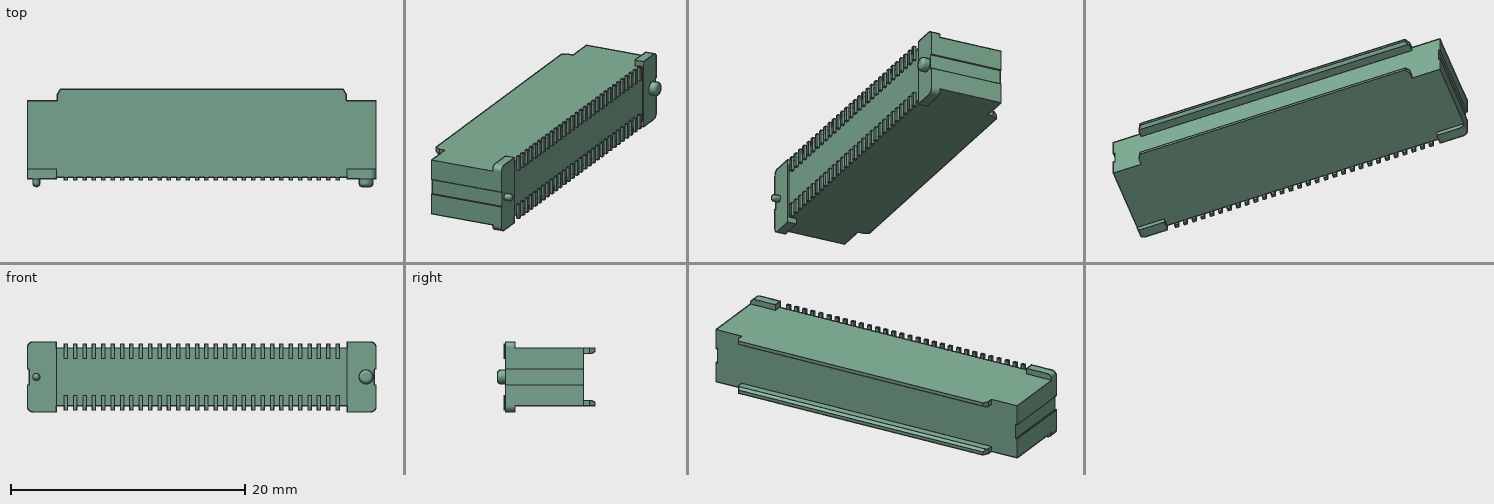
import cadquery as cq

length = 29.8
body_height = 4.95
body_depth = 6.55

tongue_width = 24.7
tongue_reach = 0.98
tongue_thickness = 0.48
tongue_corner_x = 0.27
tongue_corner_y = 0.48
tongue_lead_in_y = 0.3
tongue_lead_in_z = 0.18

flange_height = 6.0
flange_width = 2.47
flange_thickness = 0.83
flange_front = -0.12
flange_corner_radius = 0.48

groove_height = 1.35
groove_depth = 0.15

pads_per_row = 30
pad_row_span = 23.2
pad_pitch = pad_row_span / (pads_per_row - 1)
pad_width = 0.3
pad_length = 1.25
pad_thickness = 0.25
pad_row_outer_z = 2.83

peg_length = 0.7
peg_tip_radius = 0.292
small_peg_diameter = 0.6
small_peg_inset = 0.77
large_peg_diameter = 1.2
large_peg_inset = 0.85


def block(x_start, x_end, y_start, y_end, z_start, z_end):
    """Box given by its limits along each axis."""
    size = (x_end - x_start, y_end - y_start, z_end - z_start)
    return cq.Workplane("XY").box(*size, centered=False).translate((x_start, y_start, z_start))


def make_tongue():
    """Upper tongue: cut corners in plan and a sloped lead-in on its inner face."""
    half_width = tongue_width / 2
    tip = body_depth + tongue_reach
    top = body_height / 2
    bottom = top - tongue_thickness
    plan = (
        cq.Workplane("XY", origin=(0, 0, bottom))
        .moveTo(-half_width, body_depth)
        .lineTo(half_width, body_depth)
        .lineTo(half_width, tip - tongue_corner_y)
        .lineTo(half_width - tongue_corner_x, tip)
        .lineTo(tongue_corner_x - half_width, tip)
        .lineTo(-half_width, tip - tongue_corner_y)
        .close()
        .extrude(tongue_thickness)
    )
    profile = (
        cq.Workplane("YZ")
        .moveTo(body_depth, top)
        .lineTo(tip, top)
        .lineTo(tip, bottom + tongue_lead_in_z)
        .lineTo(tip - tongue_lead_in_y, bottom)
        .lineTo(body_depth, bottom)
        .close()
        .extrude(half_width, both=True)
    )
    return plan.intersect(profile)


def make_flange():
    """Flange at the +X end, with its outer corners rounded."""
    half_height = flange_height / 2
    flange = block(
        length / 2 - flange_width,
        length / 2,
        flange_front,
        flange_front + flange_thickness,
        -half_height,
        half_height,
    )
    return flange.edges("|Y and >X").fillet(flange_corner_radius)


def make_groove():
    """Cutter for the groove in the +X end face, running the full depth."""
    return block(
        length / 2 - groove_depth,
        length / 2,
        flange_front,
        body_depth,
        -groove_height / 2,
        groove_height / 2,
    )


def make_pad_row():
    """Upper row of contact pads, projecting forward from the front face."""
    return (
        cq.Workplane("XZ", origin=(0, 0, pad_row_outer_z - pad_length / 2))
        .rarray(pad_pitch, 0.3, pads_per_row, 1)
        .rect(pad_width, pad_length)
        .extrude(pad_thickness)
    )


def make_peg(center_x, diameter):
    """Peg pointing forward from a flange."""
    return (
        cq.Workplane("XZ", origin=(center_x, flange_front, 0))
        .circle(diameter / 2)
        .extrude(peg_length)
        .faces("<Y")
        .edges()
        .fillet(peg_tip_radius)
    )


tongue = make_tongue()
flange = make_flange()
groove = make_groove()
pad_row = make_pad_row()

result = block(-length / 2, length / 2, 0, body_depth, -body_height / 2, body_height / 2)
result = result.union(tongue).union(tongue.mirror("XY"))
result = result.union(flange).union(flange.mirror("YZ"))
result = result.cut(groove).cut(groove.mirror("YZ"))
result = result.union(pad_row).union(pad_row.mirror("XY"))
result = result.union(make_peg(small_peg_inset - length / 2, small_peg_diameter))
result = result.union(make_peg(length / 2 - large_peg_inset, large_peg_diameter))